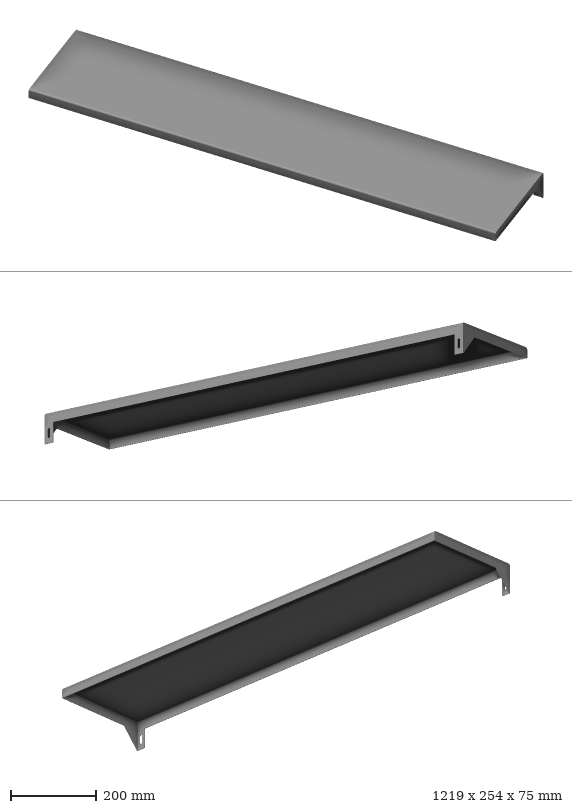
import cadquery as cq

length = 1219.0
depth = 254.0
height = 75.0

sheet = 1.5
rim_height = 25.0
bend_radius = 5.0

bracket_width = 24.0
web_reach = 46.0
web_toe = 2.0

slot_diameter = 7.2
slot_length = 24.0
slot_center_z = -50.0

rear_y = depth / 2
rim_bottom_z = -rim_height


def make_tray():
    """Shelf with its top at Z = 0, a rim on all four sides and rounded long bends."""
    board = cq.Workplane("XY").box(length, depth, rim_height, centered=(True, True, False))
    board = board.translate((0, 0, rim_bottom_z))
    board = board.edges("|X and >Z").fillet(bend_radius)
    cavity_height = rim_height - sheet
    cavity = cq.Workplane("XY").box(
        length - 2 * sheet, depth - 2 * sheet, cavity_height, centered=(True, True, False)
    )
    cavity = cavity.translate((0, 0, rim_bottom_z))
    cavity = cavity.edges("|X and >Z").fillet(bend_radius - sheet)
    return board.cut(cavity)


def make_bracket(side):
    """Slotted rear plate with a triangular web at the shelf end; side is -1 or +1."""
    end_x = side * length / 2
    center_x = end_x - side * bracket_width / 2
    plate_height = height - rim_height
    plate = cq.Workplane("XY").box(bracket_width, sheet, plate_height)
    plate = plate.translate((center_x, rear_y - sheet / 2, -(height + rim_height) / 2))
    web = (
        cq.Workplane("YZ", origin=(end_x, 0, 0))
        .moveTo(rear_y, rim_bottom_z)
        .lineTo(rear_y, -height)
        .lineTo(rear_y - web_toe, -height)
        .lineTo(rear_y - web_reach, rim_bottom_z)
        .close()
        .extrude(-side * sheet)
    )
    slot = (
        cq.Workplane("XZ", origin=(center_x, rear_y, slot_center_z))
        .slot2D(slot_length, slot_diameter, 90)
        .extrude(sheet)
    )
    return plate.union(web).cut(slot)


result = make_tray()
for side in (-1, 1):
    result = result.union(make_bracket(side))
result = result.clean()